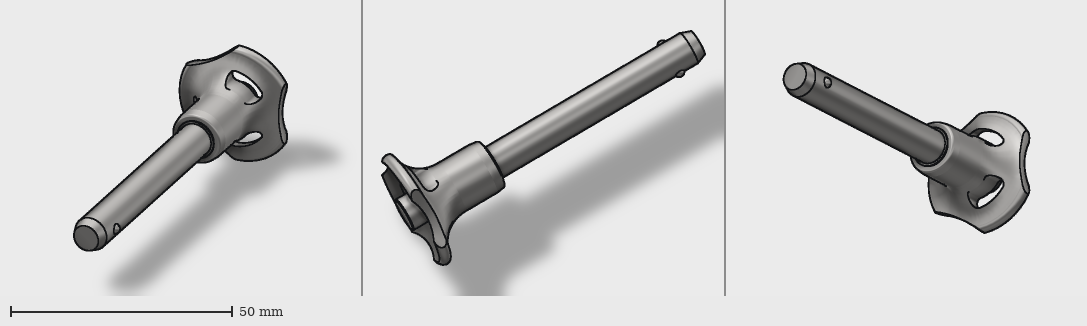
import cadquery as cq
import math

length = 77.7

shank_diameter = 8.0
shank_radius = shank_diameter / 2
tip_radius = 3.1
tip_taper = 2.4
ball_radius = 1.25
ball_reach = 4.8
ball_from_tip = 7.15

bushing_radius = 4.6
bushing_y = 54.2
bushing_height = 0.3
nose_y = bushing_y + bushing_height
nose_radius = 6.1
nose_height = 2.3
nose_round = 0.6
collar_radius = 6.3
collar_y = nose_y + nose_height
collar_height = 8.4
flare_y = collar_y + collar_height

lobe_count = 3
lobe_angle = 60.0
lobe_pitch = 360.0 / lobe_count
rim_outer_radius = 14.45
rim_round = 1.4
rim_center_radius = rim_outer_radius - rim_round
rim_top_y = 76.25
rim_middle_y = rim_top_y - rim_round
rim_bottom_y = rim_middle_y - rim_round
scallop_floor = 11.5
scallop_radius = 35.75
dish_mid_radius = 10.9
dish_mid_y = 74.6
dish_floor_y = 72.7

button_radius = shank_radius
button_chamfer = 0.2
opening_radius = 8.2
slot_width = 2.8
slot_half_angle = 22.5
hole_radius = 1.2


def make_shank():
    profile = (
        cq.Workplane("XY")
        .lineTo(tip_radius, 0)
        .lineTo(shank_radius, tip_taper)
        .lineTo(shank_radius, dish_floor_y)
        .lineTo(0, dish_floor_y)
        .close()
    )
    shank = profile.revolve(360, (0, 0, 0), (0, 1, 0))
    ball_offset = ball_reach - ball_radius
    for side in (-1, 1):
        ball = cq.Workplane("XY").sphere(ball_radius)
        shank = shank.union(ball.translate((side * ball_offset, ball_from_tip, 0)))
    return shank


def make_handle_blank():
    """Revolve the collar, tangent flare, rounded rim and shallow rear dish."""
    flare_drop = flare_y - rim_bottom_y
    flare_width = rim_center_radius - collar_radius
    flare_radius = (flare_drop ** 2 + flare_width ** 2) / (2 * flare_width)
    half_turn = math.asin(-flare_drop / flare_radius) / 2
    flare_mid = (
        collar_radius + flare_radius * (1 - math.cos(half_turn)),
        flare_y + flare_radius * math.sin(half_turn),
    )
    profile = (
        cq.Workplane("XY")
        .moveTo(0, bushing_y)
        .lineTo(bushing_radius, bushing_y)
        .lineTo(bushing_radius, nose_y)
        .lineTo(nose_radius - nose_round, nose_y)
        .radiusArc((nose_radius, nose_y + nose_round), -nose_round)
        .lineTo(collar_radius, collar_y)
        .lineTo(collar_radius, flare_y)
        .threePointArc(flare_mid, (rim_center_radius, rim_bottom_y))
        .threePointArc((rim_outer_radius, rim_middle_y), (rim_center_radius, rim_top_y))
        .threePointArc((dish_mid_radius, dish_mid_y), (button_radius, dish_floor_y))
        .lineTo(0, dish_floor_y)
        .close()
    )
    return profile.revolve(360, (0, 0, 0), (0, 1, 0))


def axial_cutter(sketch):
    """Extrude an outline on the XZ plane through the whole handle."""
    return sketch.extrude(-length)


def point_at(radius, angle):
    turn = math.radians(angle)
    return radius * math.cos(turn), radius * math.sin(turn)


def cut_scallops(handle):
    for index in range(lobe_count):
        center = point_at(scallop_floor + scallop_radius, index * lobe_pitch)
        outline = cq.Workplane("XZ").pushPoints([center]).circle(scallop_radius)
        handle = handle.cut(axial_cutter(outline))
    return handle


def make_slot_cutter(middle_angle):
    """Make a curved, round-ended slot centred on the pin axis."""
    start = middle_angle - slot_half_angle
    end = middle_angle + slot_half_angle
    inner = opening_radius - slot_width / 2
    outer = opening_radius + slot_width / 2
    outline = (
        cq.Workplane("XZ")
        .moveTo(*point_at(outer, start))
        .threePointArc(point_at(outer, middle_angle), point_at(outer, end))
        .tangentArcPoint(point_at(inner, end), relative=False)
        .threePointArc(point_at(inner, middle_angle), point_at(inner, start))
        .tangentArcPoint(point_at(outer, start), relative=False)
        .close()
    )
    return axial_cutter(outline)


def cut_openings(handle):
    """Put slots in two lobes and a round hole in the third."""
    for side in (-1, 1):
        handle = handle.cut(make_slot_cutter(side * lobe_angle))
    outline = cq.Workplane("XZ").pushPoints([(-opening_radius, 0)]).circle(hole_radius)
    return handle.cut(axial_cutter(outline))


def make_button():
    button = cq.Workplane("XZ", origin=(0, flare_y, 0)).circle(button_radius).extrude(flare_y - length)
    return button.faces(">Y").chamfer(button_chamfer)


handle = cut_openings(cut_scallops(make_handle_blank()))
result = handle.union(make_shank()).union(make_button())